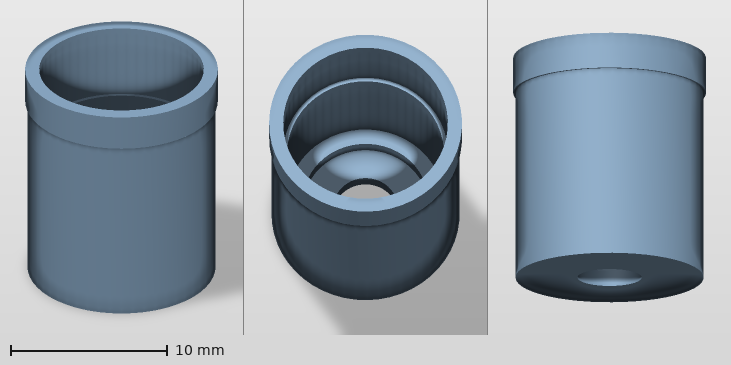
import cadquery as cq

total_height = 14.5
body_diameter = 12.0
collar_diameter = 12.3
collar_height = 2.3

mouth_diameter = 10.5
mouth_depth = 4.8
main_bore_diameter = 10.0
seat_diameter = 8.0
through_diameter = 4.1

floor_thickness = 1.0
seat_depth = 1.0


def make_outer_body():
    """Cylindrical sleeve with a slightly larger collar at the top."""
    body = cq.Workplane("XY").circle(body_diameter / 2).extrude(total_height)
    collar = (
        cq.Workplane("XY")
        .workplane(offset=total_height - collar_height)
        .circle(collar_diameter / 2)
        .extrude(collar_height)
    )
    return body.union(collar)


def cut_bore(part, diameter, bottom_height):
    """Bore the part along its axis from the top down to bottom_height."""
    bore = (
        cq.Workplane("XY")
        .workplane(offset=bottom_height)
        .circle(diameter / 2)
        .extrude(total_height - bottom_height)
    )
    return part.cut(bore)


bore_steps = [
    (mouth_diameter, total_height - mouth_depth),
    (main_bore_diameter, floor_thickness + seat_depth),
    (seat_diameter, floor_thickness),
    (through_diameter, 0),
]

result = make_outer_body()
for step_diameter, step_bottom in bore_steps:
    result = cut_bore(result, step_diameter, step_bottom)